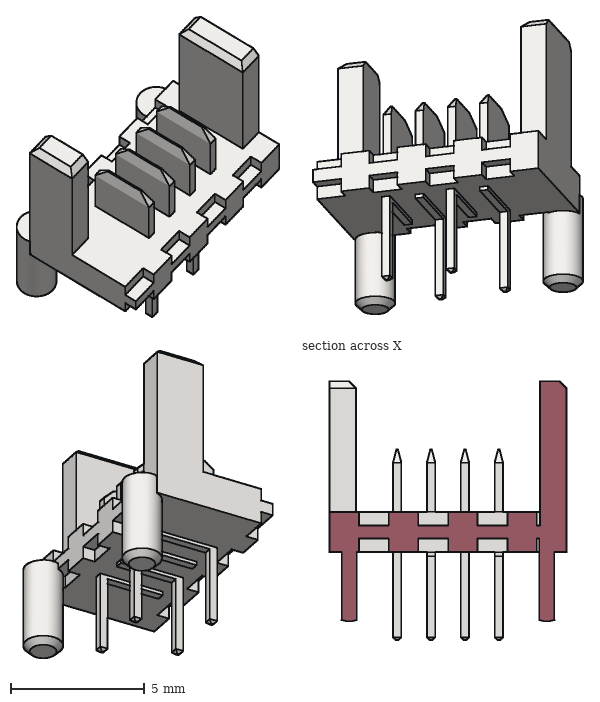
import cadquery as cq


CONTACT_COUNT = 4
PITCH = 1.27
BLADE_WIDTH = 2 * PITCH
WIRE = 0.32
BLADE_TOP = 3.85
BLADE_TIP_HEIGHT = 0.5
BLADE_TIP_THICKNESS = 0.06
SHOULDER_DROP = 0.15
LEG_BOTTOM = -3.3
LEG_CHAMFER = 0.11
LEG_ROOT = 0.5

BASE_LENGTH = 5.0
BASE_WIDTH = 7 * PITCH
BASE_HEIGHT = 1.5
BASE_LEFT = -2 * PITCH
BASE_RIGHT = BASE_LEFT + BASE_LENGTH
BASE_FRONT = -BASE_WIDTH / 2
BASE_REAR = BASE_WIDTH / 2

NOTCH_COUNT = 4
NOTCH_WIDTH = BASE_WIDTH / (2 * NOTCH_COUNT)
NOTCH_DEPTH = 0.5
NOTCH_HEIGHT = 0.5

POST_TOP = 6.4
POST_THICKNESS = 1.0
POST_CHAMFER = 0.26
FRONT_POST_LENGTH = 2.0
REAR_POST_LENGTH = 3.0

PEG_DIAMETER = 1.5
PEG_TOP = 0.75
PEG_BOTTOM = -2.8
PEG_CHAMFER = 0.25
PEG_OFFSET = 0.23
PEG_SPAN = 8.91


def block(x, y, z, length, width, height):
    """Box with its lowest corner at (x, y, z)."""
    return cq.Workplane("XY").box(length, width, height, centered=False).translate((x, y, z))


def make_base():
    base = block(BASE_LEFT, BASE_FRONT, 0, BASE_LENGTH, BASE_WIDTH, BASE_HEIGHT)
    for index in range(NOTCH_COUNT):
        y = BASE_FRONT + 2 * index * NOTCH_WIDTH
        for x in (BASE_LEFT, BASE_RIGHT - NOTCH_DEPTH):
            for z in (0, BASE_HEIGHT - NOTCH_HEIGHT):
                base = base.cut(block(x, y, z, NOTCH_DEPTH, NOTCH_WIDTH, NOTCH_HEIGHT))
    return base


def make_post(x, y, length):
    """Guide post, top edges chamfered except along its +Y face."""
    post = block(x, y, 0, length, POST_THICKNESS, POST_TOP)
    return post.faces(">Z").edges("|Y or <Y").chamfer(POST_CHAMFER)


def make_peg(y):
    peg = cq.Workplane("XY").circle(PEG_DIAMETER / 2).extrude(PEG_TOP - PEG_BOTTOM)
    peg = peg.faces("<Z").chamfer(PEG_CHAMFER)
    return peg.translate((BASE_LEFT - PEG_OFFSET, y, PEG_BOTTOM))


def make_contact(y, side):
    """Blade tapered to a thin top edge, with one leg at side (+1 or -1) in X."""
    taper_start = BLADE_TOP - BLADE_TIP_HEIGHT
    blade_bottom = -SHOULDER_DROP
    blade = cq.Workplane("XY").box(
        BLADE_WIDTH, WIRE, taper_start - blade_bottom, centered=(True, True, False)
    ).translate((0, 0, blade_bottom))
    tip = (
        cq.Workplane("XY", origin=(0, 0, taper_start))
        .rect(BLADE_WIDTH, WIRE)
        .workplane(offset=BLADE_TIP_HEIGHT)
        .rect(BLADE_WIDTH - 2 * BLADE_TIP_HEIGHT, BLADE_TIP_THICKNESS)
        .loft(ruled=True)
    )
    leg = cq.Workplane("XY").box(WIRE, WIRE, LEG_ROOT - LEG_BOTTOM, centered=(True, True, False))
    leg = leg.faces("<Z").chamfer(LEG_CHAMFER)
    leg = leg.translate((side * PITCH, 0, LEG_BOTTOM))
    return blade.union(tip).union(leg).translate((0, y, 0))


header = make_base()

header = header.union(make_post(BASE_LEFT, BASE_FRONT, FRONT_POST_LENGTH))
header = header.union(make_post(-REAR_POST_LENGTH / 2, BASE_REAR - POST_THICKNESS, REAR_POST_LENGTH))

peg_y = (PEG_SPAN - PEG_DIAMETER) / 2
for y in (-peg_y, peg_y):
    header = header.union(make_peg(y))

first_contact_y = -(CONTACT_COUNT - 1) * PITCH / 2
for index in range(CONTACT_COUNT):
    leg_side = 1 if index % 2 == 0 else -1
    header = header.union(make_contact(first_contact_y + index * PITCH, leg_side))

result = header